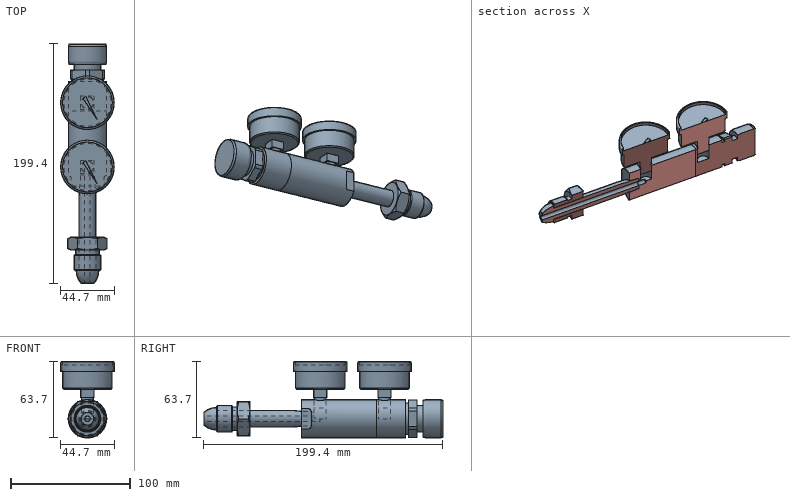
import cadquery as cq
import math


HOUSING_RADIUS = 16.0
FRONT_HOUSING_LENGTH = 62.5
REAR_HOUSING_LENGTH = 24.4

FLAT_OFFSET = 13.6
FLAT_LENGTH = 8.5
FLAT_END_RADIUS = 2.4
FLAT_FLOOR_LENGTH = FLAT_LENGTH - FLAT_END_RADIUS

COLLAR_RADIUS = 13.2
COLLAR_LENGTH = 2.3
OUTLET_HEX_ACROSS_FLATS = 28.575
OUTLET_HEX_CORNER_RADIUS = 15.68
OUTLET_HEX_LENGTH = 7.2
OUTLET_NECK_RADIUS = 11.2
OUTLET_NECK_LENGTH = 4.8
KNOB_RADIUS = HOUSING_RADIUS
KNOB_END_RADIUS = 15.3
KNOB_LENGTH = 16.9
KNOB_FRONT_CHAMFER_LENGTH = 2.4
KNOB_REAR_CHAMFER_LENGTH = 1.9

GAUGE_POSITIONS_Y = (15.7, 69.25)
GAUGE_TOP_Z = 47.66
BEZEL_RADIUS = 22.35
BEZEL_HEIGHT = 8.15
BEZEL_FILLET = 1.3
DIAL_RADIUS = 20.75
DIAL_DEPTH = 2.9
CASE_RADIUS = 20.65
CASE_BOTTOM_Z = 24.5
CASE_CHAMFER = 1.0
STEM_SQUARE = 11.2
STEM_SQUARE_BOTTOM_Z = 17.8
STEM_RADIUS = 5.0
STEM_BOTTOM_Z = 9.0
PORT_FLOOR_Z = 0.0

NEEDLE_TIP_LENGTH = 16.0
NEEDLE_TAIL_LENGTH = 5.1
NEEDLE_TAIL_WIDTH = 2.9
NEEDLE_THICKNESS = 0.2
NEEDLE_ANGLE = -60.0

TUBE_RADIUS = 7.05
TUBE_FACE_RADIUS = 6.4
TUBE_TAPER_LENGTH = 7.3
TUBE_TAPER = (TUBE_RADIUS - TUBE_FACE_RADIUS) / TUBE_TAPER_LENGTH
TUBE_INSERTION = 9.0
TUBE_END_RADIUS = TUBE_FACE_RADIUS - TUBE_TAPER * TUBE_INSERTION
INLET_LENGTH = 81.32
NOSE_LENGTH = 10.7
NOSE_RADIUS = 9.5
NOSE_TIP_RADIUS = 5.3
INLET_BORE_RADIUS = 2.25

NUT_REAR_Y = -42.8
NUT_HEX_ACROSS_FLATS = 28.575
NUT_HEX_LENGTH = 10.8
NUT_HEX_CHAMFER_ANGLE = 30.0
NUT_HEX_FACE_RADIUS = 14.0
NUT_NECK_RADIUS = 9.9
NUT_NECK_LENGTH = 3.8
NUT_THREAD_RADIUS = 11.1
NUT_THREAD_CHAMFER = 0.75
NUT_FRONT_Y = NOSE_LENGTH - INLET_LENGTH


def cylinder_y(radius, y_start, y_end):
    """Cylinder on the Y axis between two stations, y_start < y_end."""
    return cq.Workplane("XZ", origin=(0, y_end, 0)).circle(radius).extrude(y_end - y_start)


def hexagon_y(across_flats, y_start, y_end, turn):
    """Hexagonal prism on the Y axis; turn = 0 puts two corners on the X axis."""
    across_corners = across_flats / math.cos(math.radians(30))
    return (
        cq.Workplane("XZ", origin=(0, y_end, 0))
        .transformed(rotate=(0, 0, turn))
        .polygon(6, across_corners)
        .extrude(y_end - y_start)
    )


def revolve_y(profile):
    """Turn an XY profile of (radius, y) about the Y axis."""
    return profile.close().revolve(360, (0, 0, 0), (0, 1, 0))


def gauge_port(gauge_y):
    """Cutter for the flat-floored port that holds a gauge stem in its upper end."""
    return (
        cq.Workplane("XY", origin=(0, gauge_y, PORT_FLOOR_Z))
        .circle(STEM_RADIUS)
        .extrude(HOUSING_RADIUS - PORT_FLOOR_Z)
    )


def wrench_flat(side):
    """Cutter for one wrench flat, ending in a concave arc; side is -1 or +1 along X."""
    outer_x = side * 2 * HOUSING_RADIUS
    floor_x = side * FLAT_OFFSET
    arc_end_x = side * (FLAT_OFFSET + FLAT_END_RADIUS)
    arc_reach = FLAT_END_RADIUS * math.sin(math.radians(45))
    arc_middle = (arc_end_x - side * arc_reach, FLAT_FLOOR_LENGTH + arc_reach)
    return (
        cq.Workplane("XY", origin=(0, 0, -HOUSING_RADIUS))
        .moveTo(outer_x, 0)
        .lineTo(floor_x, 0)
        .lineTo(floor_x, FLAT_FLOOR_LENGTH)
        .threePointArc(arc_middle, (arc_end_x, FLAT_LENGTH))
        .lineTo(outer_x, FLAT_LENGTH)
        .close()
        .extrude(2 * HOUSING_RADIUS)
    )


def make_front_housing():
    housing = cylinder_y(HOUSING_RADIUS, 0, FRONT_HOUSING_LENGTH)
    for side in (-1, 1):
        housing = housing.cut(wrench_flat(side))
    port_y = GAUGE_POSITIONS_Y[0]
    inlet_bore = cylinder_y(INLET_BORE_RADIUS, 0, port_y)
    tapered_socket = revolve_y(
        cq.Workplane("XY")
        .lineTo(TUBE_FACE_RADIUS, 0)
        .lineTo(TUBE_END_RADIUS, TUBE_INSERTION)
        .lineTo(0, TUBE_INSERTION)
    )
    return housing.cut(gauge_port(port_y)).cut(inlet_bore).cut(tapered_socket)


def make_rear_housing():
    housing_end = FRONT_HOUSING_LENGTH + REAR_HOUSING_LENGTH
    collar_end = housing_end + COLLAR_LENGTH
    hex_end = collar_end + OUTLET_HEX_LENGTH
    neck_end = hex_end + OUTLET_NECK_LENGTH
    knob_end = neck_end + KNOB_LENGTH

    barrel = cylinder_y(HOUSING_RADIUS, FRONT_HOUSING_LENGTH, housing_end)
    barrel = barrel.cut(gauge_port(GAUGE_POSITIONS_Y[1]))
    collar = cylinder_y(COLLAR_RADIUS, housing_end, collar_end)
    trimmed_hex = hexagon_y(OUTLET_HEX_ACROSS_FLATS, collar_end, hex_end, 30).intersect(
        cylinder_y(OUTLET_HEX_CORNER_RADIUS, collar_end, hex_end)
    )
    neck = cylinder_y(OUTLET_NECK_RADIUS, hex_end, neck_end)
    knob = revolve_y(
        cq.Workplane("XY")
        .moveTo(0, neck_end)
        .lineTo(KNOB_END_RADIUS, neck_end)
        .lineTo(KNOB_RADIUS, neck_end + KNOB_FRONT_CHAMFER_LENGTH)
        .lineTo(KNOB_RADIUS, knob_end - KNOB_REAR_CHAMFER_LENGTH)
        .lineTo(KNOB_END_RADIUS, knob_end)
        .lineTo(0, knob_end)
    )
    return barrel.union(collar).union(trimmed_hex).union(neck).union(knob)


def make_needle(dial_z):
    """Tapered needle lying on the dial, pivoting on the gauge axis."""
    return (
        cq.Workplane("XY", origin=(0, 0, dial_z))
        .moveTo(NEEDLE_TIP_LENGTH, 0)
        .lineTo(-NEEDLE_TAIL_LENGTH, NEEDLE_TAIL_WIDTH / 2)
        .lineTo(-NEEDLE_TAIL_LENGTH, -NEEDLE_TAIL_WIDTH / 2)
        .close()
        .extrude(NEEDLE_THICKNESS)
        .rotate((0, 0, 0), (0, 0, 1), NEEDLE_ANGLE)
    )


def make_gauge(gauge_y):
    bezel_bottom_z = GAUGE_TOP_Z - BEZEL_HEIGHT
    dial_z = GAUGE_TOP_Z - DIAL_DEPTH

    bezel = (
        cq.Workplane("XY", origin=(0, 0, bezel_bottom_z))
        .circle(BEZEL_RADIUS)
        .extrude(BEZEL_HEIGHT)
        .faces(">Z")
        .edges()
        .fillet(BEZEL_FILLET)
    )
    dial_recess = cq.Workplane("XY", origin=(0, 0, dial_z)).circle(DIAL_RADIUS).extrude(DIAL_DEPTH)
    case = (
        cq.Workplane("XY", origin=(0, 0, CASE_BOTTOM_Z))
        .circle(CASE_RADIUS)
        .extrude(bezel_bottom_z - CASE_BOTTOM_Z)
        .faces("<Z")
        .edges()
        .chamfer(CASE_CHAMFER)
    )
    square = (
        cq.Workplane("XY", origin=(0, 0, STEM_SQUARE_BOTTOM_Z))
        .rect(STEM_SQUARE, STEM_SQUARE)
        .extrude(CASE_BOTTOM_Z - STEM_SQUARE_BOTTOM_Z)
    )
    stem = (
        cq.Workplane("XY", origin=(0, 0, STEM_BOTTOM_Z))
        .circle(STEM_RADIUS)
        .extrude(STEM_SQUARE_BOTTOM_Z - STEM_BOTTOM_Z)
    )
    gauge = bezel.cut(dial_recess).union(case).union(square).union(stem)
    return gauge.union(make_needle(dial_z)).translate((0, gauge_y, 0))


def make_inlet_tube():
    """Tube tapered where it enters the housing, bored through, with a nose rounded by an arc."""
    nose_base_y = NUT_FRONT_Y
    tip_y = -INLET_LENGTH
    nose_drop = NOSE_RADIUS - NOSE_TIP_RADIUS
    arc_radius = (NOSE_LENGTH**2 + nose_drop**2) / (2 * nose_drop)
    half_sweep = math.asin(NOSE_LENGTH / arc_radius) / 2
    arc_middle = (
        NOSE_RADIUS - arc_radius * (1 - math.cos(half_sweep)),
        nose_base_y - arc_radius * math.sin(half_sweep),
    )
    return revolve_y(
        cq.Workplane("XY")
        .moveTo(INLET_BORE_RADIUS, TUBE_INSERTION)
        .lineTo(TUBE_END_RADIUS, TUBE_INSERTION)
        .lineTo(TUBE_RADIUS, -TUBE_TAPER_LENGTH)
        .lineTo(TUBE_RADIUS, nose_base_y)
        .lineTo(NOSE_RADIUS, nose_base_y)
        .threePointArc(arc_middle, (NOSE_TIP_RADIUS, tip_y))
        .lineTo(INLET_BORE_RADIUS, tip_y)
    )


def make_inlet_nut():
    """Chamfered hexagon, relief neck and threaded end, bored to fit the tube."""
    hex_front_y = NUT_REAR_Y - NUT_HEX_LENGTH
    thread_rear_y = hex_front_y - NUT_NECK_LENGTH
    corner_radius = NUT_HEX_ACROSS_FLATS / 2 / math.cos(math.radians(30))
    corner_chamfer = (corner_radius - NUT_HEX_FACE_RADIUS) * math.tan(math.radians(NUT_HEX_CHAMFER_ANGLE))
    hex_envelope = revolve_y(
        cq.Workplane("XY")
        .moveTo(0, NUT_REAR_Y)
        .lineTo(NUT_HEX_FACE_RADIUS, NUT_REAR_Y)
        .lineTo(corner_radius, NUT_REAR_Y - corner_chamfer)
        .lineTo(corner_radius, hex_front_y + corner_chamfer)
        .lineTo(NUT_HEX_FACE_RADIUS, hex_front_y)
        .lineTo(0, hex_front_y)
    )
    hexagon = hexagon_y(NUT_HEX_ACROSS_FLATS, hex_front_y, NUT_REAR_Y, 0).intersect(hex_envelope)
    neck = cylinder_y(NUT_NECK_RADIUS, thread_rear_y, hex_front_y)
    thread = cylinder_y(NUT_THREAD_RADIUS, NUT_FRONT_Y, thread_rear_y)
    thread = thread.faces("<Y or >Y").edges().chamfer(NUT_THREAD_CHAMFER)
    bore = cylinder_y(TUBE_RADIUS, NUT_FRONT_Y, NUT_REAR_Y)
    return hexagon.union(neck).union(thread).cut(bore)


front_housing = make_front_housing()
rear_housing = make_rear_housing()
gauges = [make_gauge(gauge_y) for gauge_y in GAUGE_POSITIONS_Y]
inlet_tube = make_inlet_tube()
inlet_nut = make_inlet_nut()

result = cq.Compound.makeCompound(
    [
        front_housing.val(),
        rear_housing.val(),
        *[gauge.val() for gauge in gauges],
        inlet_tube.val(),
        inlet_nut.val(),
    ]
)